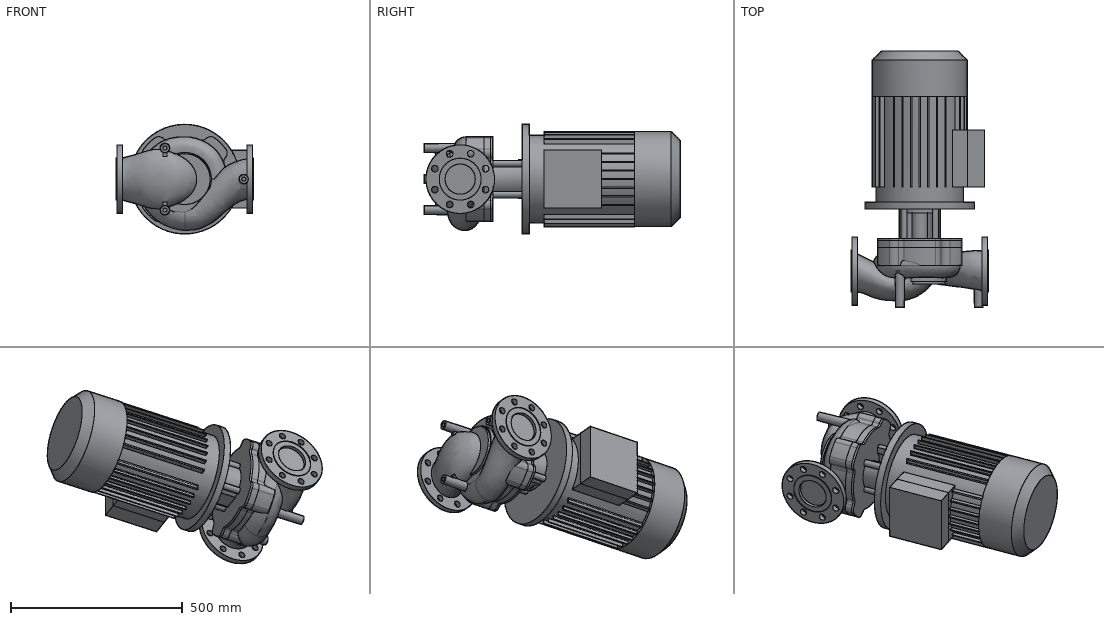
import cadquery as cq
import math


PORT_FACE = 200.0
PORT_FLANGE_R = 100.0
PORT_FLANGE_T = 17.0
RAISED_FACE_R = 61.0
RAISED_FACE_H = 2.0
PORT_BORE_R = 44.0
PORT_BORE_DEPTH = 10.0
PORT_BOLT_CIRCLE_R = 80.0
PORT_BOLT_HOLE_R = 9.5
PORT_BOLT_COUNT = 8

CASING_R = 123.5
LOBE_R = 148.5
LOBE_WIDTH = 79.5
LOBE_TIP_FILLET = 20.0
LOBE_ROOT_FILLET = 14.5
EDGE_TOLERANCE = 0.5

CASING_Y = 17.0
COVER_Y = 69.0
LANTERN_Y = 89.0
LANTERN_PLATE_Y = 95.5
MOTOR_FLANGE_Y = 180.6
MOTOR_BODY_Y = 201.4
FIN_START_Y = 244.7
BOX_END_Y = 412.0
FAN_COVER_Y = 508.5
MOTOR_END_Y = 641.98

SCROLL_RING_R = 87.5
SCROLL_TUBE_R = 36.0
SCROLL_STEPS = 9
THROAT_RING_R = 106.0
THROAT_TUBE_R = 44.0
THROAT_Y = 13.0
DISCHARGE_R = 59.0
PIPE_OVERLAP = 1.5
FLANGE_BACK_X = PORT_FACE - RAISED_FACE_H - PORT_FLANGE_T
DISCHARGE_STATIONS = [
    (0, THROAT_Y, -THROAT_RING_R, THROAT_TUBE_R, 0),
    (55, 6, -90, 44.5, 38),
    (100, 4, -47, 48.5, 43),
    (142, 4.5, -14, 54.5, 27),
    (FLANGE_BACK_X + PIPE_OVERLAP, 0, 0, DISCHARGE_R, 0),
]
SUCTION_STATIONS = [
    ((-FLANGE_BACK_X - PIPE_OVERLAP, 51), (-FLANGE_BACK_X - PIPE_OVERLAP, -62), 61.5),
    ((-136, 28), (-150, -71), 72),
    ((-107, 5), (-90, -86.5), 85),
    ((-100, 0), (-34, -83), 86),
    ((-97, 8), (5, -66), 79),
    ((-95, 12), (35, -37), 73),
]

HUB_FACE_Y = -37.5
HUB_R = 74.0
HUB_STEP_Y = -30.0
HUB_STEP_R = 77.5
WEB_R = 100.0
WEB_TOP_Z = -25.0

STUB_END_Y = -105.4
STUB_TIP_R = 13.0
STUB_ROOT_R = 14.4
STUB_HOLE_R = 6.0
STUB_HOLE_DEPTH = 15.0
SUCTION_STUB_X = -57.7
SUCTION_STUB_Z = 90.3
SUCTION_STUB_SEAT_Y = 0.0
DISCHARGE_STUB_X = 172.0
DISCHARGE_STUB_SEAT_Y = -40.0
STUB_PLACES = [
    (SUCTION_STUB_X, SUCTION_STUB_Z, SUCTION_STUB_SEAT_Y),
    (SUCTION_STUB_X, -SUCTION_STUB_Z, SUCTION_STUB_SEAT_Y),
    (DISCHARGE_STUB_X, 0.0, DISCHARGE_STUB_SEAT_Y),
]
STUB_RIB_WIDTH = 12.0
STUB_RIB_Y = -71.5
STUB_RIB_INNER_Z = 66.0

LANTERN_R = 60.0
LANTERN_BORE_R = 48.0
LANTERN_WINDOW_WIDTH = 74.0
LANTERN_RING_R = 57.0
LANTERN_RING_T = 10.6
LANTERN_BOSS_R = 10.0
LANTERN_BOSS_OFFSET = 45.0
SHAFT_R = 23.0

MOTOR_FLANGE_R = 160.0
MOTOR_R = 128.0
FAN_COVER_R = 139.0
FAN_COVER_CHAMFER = 27.0
FIN_PITCH = 25.0
FIN_T = 3.5
FINS_EACH_SIDE = 3
BOX_WIDTH = 169.0
BOX_SEAT_X = 95.6
BOX_JOINT_X = 139.5
BOX_LID_X = 189.0


def disc(radius, y_start, y_end, x=0.0, z=0.0):
    """Cylinder along Y, centred at (x, z)."""
    start = cq.Vector(x, y_start, z)
    return cq.Workplane(obj=cq.Solid.makeCylinder(radius, y_end - y_start, start, cq.Vector(0, 1, 0)))


def block(x_range, y_range, z_range):
    """Box between the (low, high) limits given for each axis."""
    size = [high - low for low, high in (x_range, y_range, z_range)]
    corner = (x_range[0], y_range[0], z_range[0])
    return cq.Workplane("XY").box(*size, centered=False).translate(corner)


def axis_distance(edge):
    """Distance from the motor axis to the middle of an edge."""
    middle = edge.Center()
    return math.hypot(middle.x, middle.z)


def is_lobe_root(edge):
    """True for an edge on the casing radius, other than the seam of the round part."""
    middle = edge.Center()
    on_seam = min(abs(middle.x), abs(middle.z)) < EDGE_TOLERANCE
    return abs(axis_distance(edge) - CASING_R) < EDGE_TOLERANCE and not on_seam


def lobed_plate(y_start, y_end):
    """Round plate with four filleted bolting lobes on the diagonals."""
    height = y_end - y_start
    cross = cq.Workplane("XY").box(2 * LOBE_R, height, LOBE_WIDTH)
    cross = cross.union(cq.Workplane("XY").box(LOBE_WIDTH, height, 2 * LOBE_R))
    cross = cross.rotate((0, 0, 0), (0, 1, 0), 45).translate((0, (y_start + y_end) / 2, 0))
    plate = cross.intersect(disc(LOBE_R, y_start, y_end))
    plate = plate.union(disc(CASING_R, y_start, y_end))
    middle_r = (CASING_R + LOBE_R) / 2
    tips = [edge for edge in plate.edges("|Y").vals() if axis_distance(edge) > middle_r]
    plate = plate.newObject(tips).fillet(LOBE_TIP_FILLET)
    roots = [edge for edge in plate.edges("|Y").vals() if is_lobe_root(edge)]
    return plate.newObject(roots).fillet(LOBE_ROOT_FILLET)


def oval(center, cross_dir, cross_r, z_r):
    """Ellipse wire with half height z_r along Z and half width cross_r along cross_dir."""
    normal = cross_dir.cross(cq.Vector(0, 0, 1))
    big, small = max(cross_r, z_r), min(cross_r, z_r)
    big_dir = cq.Vector(0, 0, 1) if z_r >= cross_r else cross_dir
    edge = cq.Edge.makeEllipse(big, small, center, normal, big_dir)
    return cq.Wire.assembleEdges([edge])


def port_flange(side):
    """Flange with raised face; side is -1 for suction and +1 for discharge."""
    flange = cq.Workplane("YZ").workplane(offset=FLANGE_BACK_X)
    flange = flange.circle(PORT_FLANGE_R).extrude(PORT_FLANGE_T)
    holes = cq.Workplane("YZ").workplane(offset=FLANGE_BACK_X)
    holes = holes.polarArray(PORT_BOLT_CIRCLE_R, 180 / PORT_BOLT_COUNT, 360, PORT_BOLT_COUNT)
    flange = flange.cut(holes.circle(PORT_BOLT_HOLE_R).extrude(PORT_FLANGE_T))
    raised = cq.Workplane("YZ").workplane(offset=FLANGE_BACK_X + PORT_FLANGE_T)
    flange = flange.union(raised.circle(RAISED_FACE_R).extrude(RAISED_FACE_H))
    return flange if side > 0 else flange.mirror("YZ")


def port_bore(side):
    bore = cq.Workplane("YZ").workplane(offset=PORT_FACE - PORT_BORE_DEPTH)
    bore = bore.circle(PORT_BORE_R).extrude(PORT_BORE_DEPTH)
    return bore if side > 0 else bore.mirror("YZ")


def scroll_and_discharge():
    """Ring-shaped scroll that grows round the left side and leads to the discharge port."""
    sections = []
    for step in range(SCROLL_STEPS + 1):
        turn = 270 * step / SCROLL_STEPS
        share = max(0, (turn - 90) / 180)
        angle = math.radians(turn)
        ring_r = SCROLL_RING_R + share * (THROAT_RING_R - SCROLL_RING_R)
        tube_r = SCROLL_TUBE_R + share * (THROAT_TUBE_R - SCROLL_TUBE_R)
        y = CASING_Y + share * (THROAT_Y - CASING_Y)
        center = cq.Vector(ring_r * math.cos(angle), y, ring_r * math.sin(angle))
        heading = cq.Vector(-math.sin(angle), 0, math.cos(angle))
        sections.append(cq.Wire.makeCircle(tube_r, center, heading))
    scroll = cq.Workplane(obj=cq.Solid.makeLoft(sections))

    sections = []
    for x, y, z, radius, angle in DISCHARGE_STATIONS:
        heading = cq.Vector(math.cos(math.radians(angle)), 0, math.sin(math.radians(angle)))
        sections.append(cq.Wire.makeCircle(radius, cq.Vector(x, y, z), heading))
    outlet = cq.Workplane(obj=cq.Solid.makeLoft(sections))
    return scroll, outlet


def suction_elbow():
    """Swelling elbow from the suction port into the hub."""
    sections = []
    for inner, outer, z_r in SUCTION_STATIONS:
        start, end = cq.Vector(*inner, 0), cq.Vector(*outer, 0)
        across = end - start
        sections.append(oval((start + end) * 0.5, across.normalized(), across.Length / 2, z_r))
    return cq.Workplane(obj=cq.Solid.makeLoft(sections))


def stub_cone(x, z, seat_y):
    """Slightly tapered stub from its seat in the casing to its front end."""
    length = seat_y - STUB_END_Y
    tip = cq.Vector(x, STUB_END_Y, z)
    cone = cq.Solid.makeCone(STUB_TIP_R, STUB_ROOT_R, length, tip, cq.Vector(0, 1, 0))
    return cq.Workplane(obj=cone)


def make_casing():
    """Plain shapes first, then the lofted passages, then the recesses."""
    casing = lobed_plate(CASING_Y, COVER_Y)
    casing = casing.union(disc(HUB_R, HUB_FACE_Y, CASING_Y))
    casing = casing.union(disc(HUB_STEP_R, HUB_STEP_Y, CASING_Y))
    below = block((-WEB_R, WEB_R), (HUB_STEP_Y, CASING_Y), (-WEB_R, WEB_TOP_Z))
    casing = casing.union(disc(WEB_R, HUB_STEP_Y, CASING_Y).intersect(below))
    for z in (-SUCTION_STUB_Z, SUCTION_STUB_Z):
        rib_z = sorted((math.copysign(STUB_RIB_INNER_Z, z), z))
        rib_x = (SUCTION_STUB_X - STUB_RIB_WIDTH / 2, SUCTION_STUB_X + STUB_RIB_WIDTH / 2)
        casing = casing.union(block(rib_x, (STUB_RIB_Y, CASING_Y), rib_z))
    for side in (-1, 1):
        casing = casing.union(port_flange(side))

    for passage in (*scroll_and_discharge(), suction_elbow()):
        casing = casing.union(passage)

    recesses = [port_bore(side).val() for side in (-1, 1)]
    recesses += [stub_cone(*place).val() for place in STUB_PLACES]
    return casing.cut(cq.Workplane(obj=cq.Compound.makeCompound(recesses)))


def make_stub(x, z, seat_y):
    hole = disc(STUB_HOLE_R, STUB_END_Y, STUB_END_Y + STUB_HOLE_DEPTH, x, z)
    return stub_cone(x, z, seat_y).cut(hole)


def make_cover():
    return lobed_plate(COVER_Y, LANTERN_Y)


def make_lantern():
    """Barrel with a window on top, a flat underside, four corner bosses and a lobed base plate."""
    plate = lobed_plate(LANTERN_Y, LANTERN_PLATE_Y)
    barrel = disc(LANTERN_R, LANTERN_PLATE_Y, MOTOR_FLANGE_Y)
    for x in (-LANTERN_BOSS_OFFSET, LANTERN_BOSS_OFFSET):
        for z in (-LANTERN_BOSS_OFFSET, LANTERN_BOSS_OFFSET):
            barrel = barrel.union(disc(LANTERN_BOSS_R, LANTERN_PLATE_Y, MOTOR_FLANGE_Y, x, z))
    barrel = barrel.cut(disc(LANTERN_BORE_R, LANTERN_PLATE_Y, MOTOR_FLANGE_Y))
    half_window = LANTERN_WINDOW_WIDTH / 2
    boss_reach = LANTERN_BOSS_OFFSET + LANTERN_BOSS_R
    y_range = (LANTERN_PLATE_Y, MOTOR_FLANGE_Y)
    window = block((-half_window, half_window), y_range, (0, LANTERN_R))
    underside = block((-LANTERN_R, LANTERN_R), y_range, (-LANTERN_R, -boss_reach))
    barrel = barrel.cut(window).cut(underside)
    ring = disc(LANTERN_RING_R, MOTOR_FLANGE_Y - LANTERN_RING_T, MOTOR_FLANGE_Y)
    ring = ring.cut(disc(LANTERN_BORE_R, LANTERN_PLATE_Y, MOTOR_FLANGE_Y))
    return plate.union(barrel).union(ring)


def make_shaft():
    return disc(SHAFT_R, LANTERN_PLATE_Y, MOTOR_FLANGE_Y)


def make_fins():
    """Parallel fins on all four sides, trimmed to the radius of the fan cover."""
    y_range = (FIN_START_Y, FAN_COVER_Y)
    reach = (-FAN_COVER_R, FAN_COVER_R)
    fins = cq.Workplane("XY")
    for index in range(-FINS_EACH_SIDE, FINS_EACH_SIDE + 1):
        middle = index * FIN_PITCH
        thickness = (middle - FIN_T / 2, middle + FIN_T / 2)
        fins = fins.union(block(reach, y_range, thickness))
        fins = fins.union(block(thickness, y_range, reach))
    return fins.intersect(disc(FAN_COVER_R, *y_range))


def box_block(x_start, x_end):
    """Part of the terminal box between two X positions."""
    return block((x_start, x_end), (FIN_START_Y, BOX_END_Y), (-BOX_WIDTH / 2, BOX_WIDTH / 2))


def make_motor():
    """Finned body with its mounting flange and the seat of the terminal box."""
    motor = disc(MOTOR_R, MOTOR_BODY_Y, FAN_COVER_Y)
    flange = disc(MOTOR_FLANGE_R, MOTOR_FLANGE_Y, MOTOR_BODY_Y).rotate((0, 0, 0), (0, 1, 0), -135)
    motor = motor.union(flange)
    motor = motor.union(make_fins())
    return motor.union(box_block(BOX_SEAT_X, BOX_JOINT_X))


def make_box_lid():
    return box_block(BOX_JOINT_X, BOX_LID_X)


def make_fan_cover():
    cover = disc(FAN_COVER_R, FAN_COVER_Y, MOTOR_END_Y)
    return cover.faces(">Y").chamfer(FAN_COVER_CHAMFER)


casing = make_casing()
stubs = [make_stub(*place) for place in STUB_PLACES]
pump = [casing, *stubs, make_cover(), make_lantern(), make_shaft()]
motor = [make_motor(), make_box_lid(), make_fan_cover()]
result = cq.Compound.makeCompound([body.solids().val() for body in pump + motor])